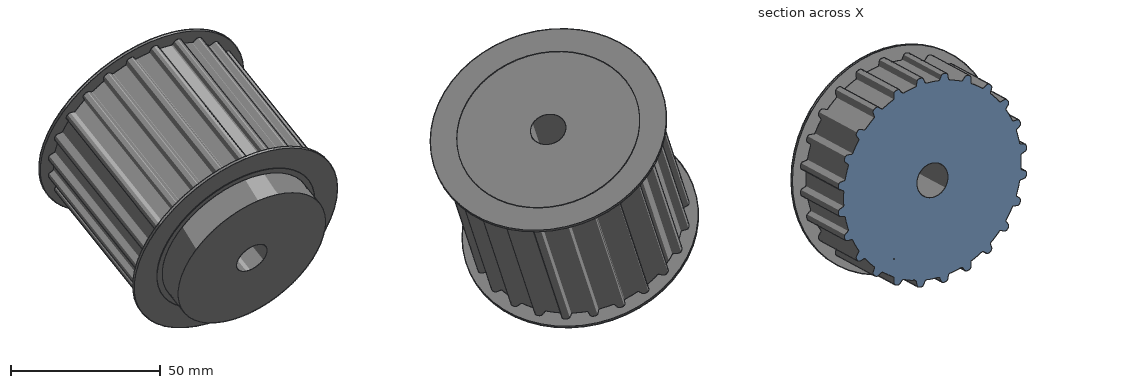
import cadquery as cq
import math


TOOTH_COUNT = 24
TIP_DIAMETER = 74.55
GROOVE_DEPTH = 2.35
GROOVE_WIDTH = 7.45
FLANK_ANGLE = math.radians(25)
ROOT_FILLET = 0.5
TIP_FILLET = 1.2

RIM_LENGTH = 60.0
HUB_LENGTH = 10.0
HUB_DIAMETER = 58.0
BORE_DIAMETER = 12.0

FLANGE_DIAMETER = 80.0
FLANGE_SEAT_DIAMETER = 62.0
FLANGE_THICKNESS = 1.0
FLANGE_FLARE_DIAMETER = 77.0
FLANGE_FLARE = 0.25

TOTAL_LENGTH = RIM_LENGTH + HUB_LENGTH
TIP_RADIUS = TIP_DIAMETER / 2
ROOT_RADIUS = TIP_RADIUS - GROOVE_DEPTH
PITCH_ANGLE = 2 * math.pi / TOOTH_COUNT


def polar(radius, angle):
    return (radius * math.cos(angle), radius * math.sin(angle))


def flank_fillet(centre_radius, offset):
    """Fillet circle at a signed distance from the flank of a groove centred on angle 0.

    Returns the polar angle of its centre, its tangent point on the flank and its mid-arc point.
    A positive offset lies inside the tooth, a negative one inside the groove.
    """
    half_width = GROOVE_WIDTH / 2
    flank_direction = math.asin(half_width / TIP_RADIUS) - FLANK_ANGLE
    flank_distance = TIP_RADIUS * math.sin(flank_direction)
    centre_angle = FLANK_ANGLE + math.asin((flank_distance + offset) / centre_radius)
    centre = polar(centre_radius, centre_angle)

    def on_circle(angle):
        shift = polar(abs(offset), angle)
        return (centre[0] + shift[0], centre[1] + shift[1])

    if offset > 0:
        flank_normal = FLANK_ANGLE - math.pi / 2
        circle_normal = centre_angle
    else:
        flank_normal = FLANK_ANGLE + math.pi / 2
        circle_normal = centre_angle + math.pi
    return centre_angle, on_circle(flank_normal), on_circle((flank_normal + circle_normal) / 2)


def rotated(point, angle):
    x, y = point
    return (
        x * math.cos(angle) - y * math.sin(angle),
        x * math.sin(angle) + y * math.cos(angle),
    )


def mirrored(point):
    return (point[0], -point[1])


def toothed_rim(length):
    """Toothed body; each groove is followed by the land of the next tooth."""
    root_angle, root_flank, root_mid = flank_fillet(ROOT_RADIUS + ROOT_FILLET, -ROOT_FILLET)
    tip_angle, tip_flank, tip_mid = flank_fillet(TIP_RADIUS - TIP_FILLET, TIP_FILLET)
    root_edge = polar(ROOT_RADIUS, root_angle)
    tip_edge = polar(TIP_RADIUS, tip_angle)
    groove_bottom = (ROOT_RADIUS, 0)
    land_middle = polar(TIP_RADIUS, PITCH_ANGLE / 2)
    next_tip_edge = rotated(mirrored(tip_edge), PITCH_ANGLE)

    stretches = [
        (mirrored(tip_mid), mirrored(tip_flank)),
        (mirrored(root_flank),),
        (mirrored(root_mid), mirrored(root_edge)),
        (groove_bottom, root_edge),
        (root_mid, root_flank),
        (tip_flank,),
        (tip_mid, tip_edge),
        (land_middle, next_tip_edge),
    ]
    outline = cq.Workplane("YZ").moveTo(*mirrored(tip_edge))
    for index in range(TOOTH_COUNT):
        turn = index * PITCH_ANGLE
        for stretch in stretches:
            points = [rotated(point, turn) for point in stretch]
            if len(points) == 1:
                outline = outline.lineTo(*points[0])
            else:
                outline = outline.threePointArc(*points)
    return outline.close().extrude(length)


def left_flange():
    """Sheet ring of constant axial thickness, dished outward at its edge."""
    seat = FLANGE_SEAT_DIAMETER / 2
    flare = FLANGE_FLARE_DIAMETER / 2
    edge = FLANGE_DIAMETER / 2
    outline = [
        (FLANGE_FLARE, seat),
        (FLANGE_FLARE, flare),
        (0, edge),
        (FLANGE_THICKNESS, edge),
        (FLANGE_FLARE + FLANGE_THICKNESS, flare),
        (FLANGE_FLARE + FLANGE_THICKNESS, seat),
    ]
    return cq.Workplane("XY").polyline(outline).close().revolve(360, (0, 0, 0), (1, 0, 0))


def cylinder(diameter, start, length):
    """Round bar along X from the given start position."""
    return cq.Workplane("YZ", origin=(start, 0, 0)).circle(diameter / 2).extrude(length)


inner_face = FLANGE_FLARE + FLANGE_THICKNESS
toothed_length = RIM_LENGTH - 2 * inner_face
teeth = toothed_rim(toothed_length).translate((inner_face, 0, 0))
core = cylinder(FLANGE_SEAT_DIAMETER, 0, RIM_LENGTH)
hub = cylinder(HUB_DIAMETER, RIM_LENGTH, HUB_LENGTH)
bore = cylinder(BORE_DIAMETER, 0, TOTAL_LENGTH)

flange = left_flange()
opposite_flange = flange.mirror("YZ").translate((RIM_LENGTH, 0, 0))

result = teeth.union(core).union(flange).union(opposite_flange).union(hub).cut(bore)